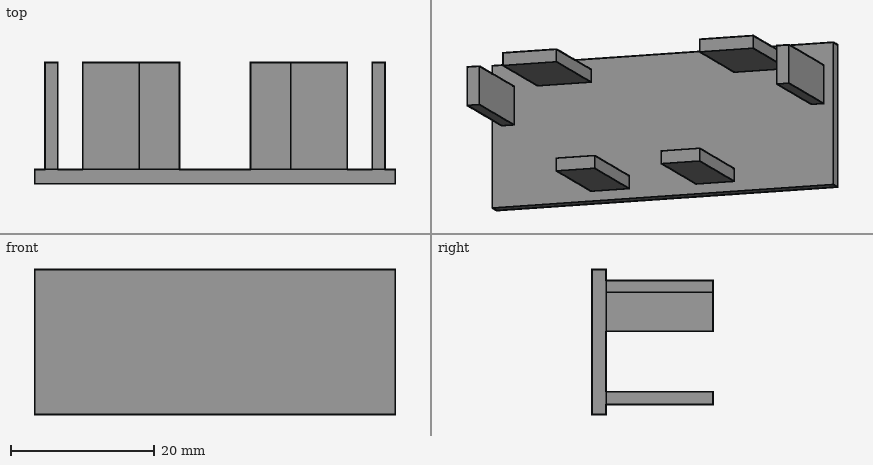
import cadquery as cq

plate_width = 50.4
plate_height = 20.3
plate_thickness = 2.0

total_depth = 17.0
tab_length = total_depth - plate_thickness
tab_thickness = 1.8

side_tab_inset = 1.4
side_tab_height = 5.5
side_tab_top_drop = 3.2

upper_tab_inset = 6.7
upper_tab_width = 7.9
upper_tab_top_drop = 1.5

lower_tab_inset = upper_tab_inset + upper_tab_width
lower_tab_width = 5.65
lower_tab_bottom = 1.4


def block(x, y, z, width, depth, height):
    """Box with its minimum corner at (x, y, z)."""
    return cq.Workplane("XY").box(width, depth, height, centered=False).translate((x, y, z))


def tab_pair(inset, bottom, width, height):
    """Two tabs placed symmetrically, each inset from an end of the plate."""
    left = block(inset, plate_thickness, bottom, width, tab_length, height)
    right_x = plate_width - inset - width
    right = block(right_x, plate_thickness, bottom, width, tab_length, height)
    return left.union(right)


plate = block(0, 0, 0, plate_width, plate_thickness, plate_height)

side_tab_bottom = plate_height - side_tab_top_drop - side_tab_height
side_tabs = tab_pair(side_tab_inset, side_tab_bottom, tab_thickness, side_tab_height)

upper_tab_bottom = plate_height - upper_tab_top_drop - tab_thickness
upper_tabs = tab_pair(upper_tab_inset, upper_tab_bottom, upper_tab_width, tab_thickness)

lower_tabs = tab_pair(lower_tab_inset, lower_tab_bottom, lower_tab_width, tab_thickness)

result = plate.union(side_tabs).union(upper_tabs).union(lower_tabs)